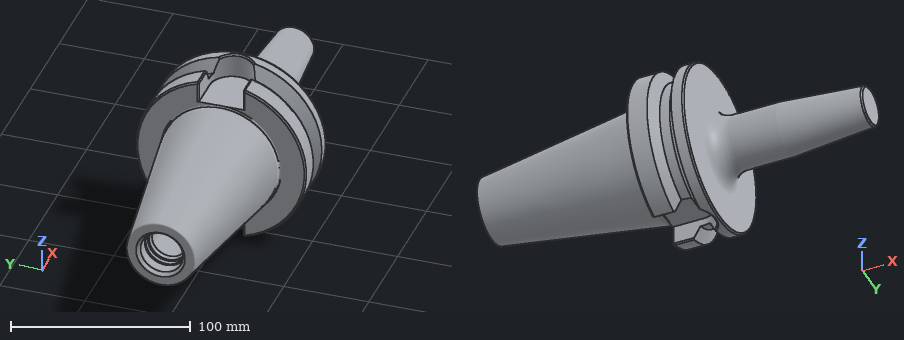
import cadquery as cq
import math

total_length = 231.8
taper_end = 100.8
flange_front = 104.8
flange_back = 139.8
neck_end = 181.0

taper_ratio = 7 / 48
shank_radius = 34.8
shank_start_radius = shank_radius - taper_end * taper_ratio
shank_edge_fillet = 1.0
relief_drop = 0.19
relief_radius = shank_radius - relief_drop
relief_lead_in = 1.5
relief_start = taper_end + relief_lead_in
relief_fillet = 1.0

flange_diameter = 100.0
flange_radius = flange_diameter / 2
flange_edge_chamfer = 1.0
groove_root_radius = 42.5
groove_root_start = 122.0
groove_root_end = 128.0
groove_flank_angle = 30.0
groove_overrun = 2.3
rim_tolerance = 0.02

neck_radius = 16.0
neck_fillet = 12.0
tip_radius = 12.0
tip_chamfer = 1.0

slot_half_width = 13.0
slot_floor = 35.5
slot_end = 136.5

mouth_radius = 14.4
mouth_chamfer = 0.7
guide_radius = 12.5
guide_start = 2.3
guide_end = 9.5
counterbore_radius = 12.0
guide_step_length = 0.7
counterbore_start = guide_end + guide_step_length
counterbore_end = 13.2
lead_in_radius = 11.4
lead_in_step_length = 0.5
lead_in_start = counterbore_end + lead_in_step_length
core_radius = 10.5
core_start = 16.0
core_end = 46.4
drill_tip_angle = 118.0
drill_tip_length = core_radius / math.tan(math.radians(drill_tip_angle / 2))


def revolve_about_x(outline):
    return outline.close().revolve(360, (0, 0, 0), (1, 0, 0))


def make_shank_and_nose():
    """Taper shank, hub inside the flange, neck and conical tip, without the bore."""
    outline = (
        cq.Workplane("XY")
        .lineTo(0, shank_start_radius)
        .lineTo(taper_end, shank_radius)
        .lineTo(relief_start, relief_radius)
        .lineTo(flange_front - relief_fillet, relief_radius)
        .radiusArc((flange_front, relief_radius + relief_fillet), -relief_fillet)
        .lineTo(flange_front, neck_radius + neck_fillet)
        .lineTo(flange_back, neck_radius + neck_fillet)
        .radiusArc((flange_back + neck_fillet, neck_radius), -neck_fillet)
        .lineTo(neck_end, neck_radius)
        .lineTo(total_length - tip_chamfer, tip_radius)
        .lineTo(total_length, tip_radius - tip_chamfer)
        .lineTo(total_length, 0)
    )
    return revolve_about_x(outline).edges("<X").fillet(shank_edge_fillet)


def make_bore():
    """Stepped blind bore in the small end of the taper, closed by a drill tip."""
    outline = (
        cq.Workplane("XY")
        .lineTo(0, mouth_radius)
        .lineTo(mouth_chamfer, mouth_radius - mouth_chamfer)
        .lineTo(guide_start, guide_radius)
        .lineTo(guide_end, guide_radius)
        .lineTo(counterbore_start, counterbore_radius)
        .lineTo(counterbore_end, counterbore_radius)
        .lineTo(lead_in_start, lead_in_radius)
        .lineTo(core_start, core_radius)
        .lineTo(core_end, core_radius)
        .lineTo(core_end + drill_tip_length, 0)
    )
    return revolve_about_x(outline)


def make_slot(side):
    """Slot open towards the taper with a round end; side is +1 for top, -1 for bottom."""
    arc_center = slot_end - slot_half_width
    return (
        cq.Workplane("XY", origin=(0, 0, side * slot_floor))
        .moveTo(flange_front, -slot_half_width)
        .lineTo(arc_center, -slot_half_width)
        .threePointArc((slot_end, 0), (arc_center, slot_half_width))
        .lineTo(flange_front, slot_half_width)
        .close()
        .extrude(side * flange_radius)
    )


def make_gripper_groove():
    """Ring of V section with a flat root, widening outwards past the flange rim."""
    outer_radius = flange_radius + groove_overrun
    flank_length = (outer_radius - groove_root_radius) * math.tan(math.radians(groove_flank_angle))
    outline = (
        cq.Workplane("XY")
        .moveTo(groove_root_start, groove_root_radius)
        .lineTo(groove_root_end, groove_root_radius)
        .lineTo(groove_root_end + flank_length, outer_radius)
        .lineTo(groove_root_start - flank_length, outer_radius)
    )
    return revolve_about_x(outline)


def is_on_rim(edge):
    middle = edge.positionAt(0.5)
    return math.isclose(math.hypot(middle.y, middle.z), flange_radius, abs_tol=rim_tolerance)


def make_flange():
    """Slotted disc, chamfered before the groove is cut so that the groove edges stay sharp."""
    disc = (
        cq.Workplane("YZ", origin=(flange_front, 0, 0))
        .circle(flange_radius)
        .extrude(flange_back - flange_front)
    )
    for side in (1, -1):
        disc = disc.cut(make_slot(side))
    rim_edges = [edge for edge in disc.faces("%CYLINDER").edges().vals() if is_on_rim(edge)]
    slot_corners = disc.edges("|Z").edges("<X").vals()
    disc = disc.newObject(rim_edges + slot_corners).chamfer(flange_edge_chamfer)
    return disc.cut(make_gripper_groove())


result = make_shank_and_nose().union(make_flange()).cut(make_bore())